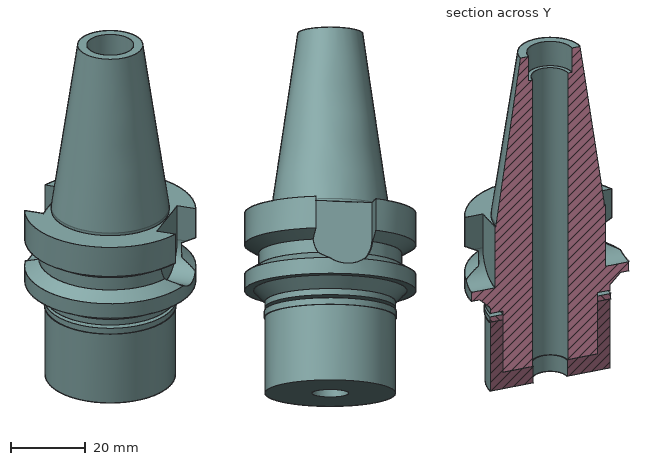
import cadquery as cq

TOTAL_HEIGHT = 98.4
GAUGE_Z = 50.0
FLANGE_TOP_Z = 49.2
GROOVE_TOP_Z = 40.5
GROOVE_BOTTOM_Z = 32.4
FLANGE_BOTTOM_Z = 28.0
LIP_BOTTOM_Z = 23.3
LIP_TOP_Z = 25.0

TAPER_BASE_R = 15.8
TAPER_TOP_R = 8.8
FLANGE_DIAMETER = 46.0
FLANGE_R = FLANGE_DIAMETER / 2
GROOVE_R = 19.2
GROOVE_FLANK_HEIGHT = 2.3
LIP_R = 17.5
NECK_R = 13.9

SLOT_WIDTH = 16.3
SLOT_FLOOR_X = 16.1
SLOT_BOTTOM_Z = 30.9

COUNTERBORE_R = 6.3
COUNTERBORE_DEPTH = 7.3
BORE_R = 5.1

RING_R = 17.7
RING_HEIGHT = 1.8
NUT_R = 17.5
NUT_HEIGHT = 20.7
NUT_FRONT_WALL = 4.9
NUT_BORE_R = 4.9


def cylinder(radius, bottom_z, height):
    """Solid cylinder on the Z axis."""
    return cq.Workplane("XY").workplane(offset=bottom_z).circle(radius).extrude(height)


def holder_blank():
    """Taper, grooved flange, lip and neck as one turned shape."""
    cone_top_r = LIP_R + FLANGE_BOTTOM_Z - LIP_TOP_Z
    profile = [
        (0, NUT_FRONT_WALL),
        (NECK_R, NUT_FRONT_WALL),
        (NECK_R, LIP_BOTTOM_Z),
        (LIP_R, LIP_BOTTOM_Z),
        (LIP_R, LIP_TOP_Z),
        (cone_top_r, FLANGE_BOTTOM_Z),
        (FLANGE_R, FLANGE_BOTTOM_Z),
        (FLANGE_R, GROOVE_BOTTOM_Z),
        (GROOVE_R, GROOVE_BOTTOM_Z + GROOVE_FLANK_HEIGHT),
        (GROOVE_R, GROOVE_TOP_Z - GROOVE_FLANK_HEIGHT),
        (FLANGE_R, GROOVE_TOP_Z),
        (FLANGE_R, FLANGE_TOP_Z),
        (TAPER_BASE_R, FLANGE_TOP_Z),
        (TAPER_BASE_R, GAUGE_Z),
        (TAPER_TOP_R, TOTAL_HEIGHT),
        (0, TOTAL_HEIGHT),
    ]
    return cq.Workplane("XZ").polyline(profile).close().revolve(360, (0, 0), (0, 1))


def drive_slot(side):
    """Round-bottomed slot cutter, open at the top and outer side; side is +1 or -1 along X."""
    half_width = SLOT_WIDTH / 2
    arc_center_z = SLOT_BOTTOM_Z + half_width
    return (
        cq.Workplane("YZ")
        .workplane(offset=side * SLOT_FLOOR_X)
        .moveTo(-half_width, FLANGE_TOP_Z)
        .lineTo(-half_width, arc_center_z)
        .threePointArc((0, SLOT_BOTTOM_Z), (half_width, arc_center_z))
        .lineTo(half_width, FLANGE_TOP_Z)
        .close()
        .extrude(side * (FLANGE_R - SLOT_FLOOR_X))
    )


def make_holder():
    """Tool holder with its drive slots and stepped through bore."""
    holder = holder_blank()
    for side in (-1, 1):
        holder = holder.cut(drive_slot(side))
    holder = holder.cut(cylinder(BORE_R, 0, TOTAL_HEIGHT))
    return holder.cut(cylinder(COUNTERBORE_R, TOTAL_HEIGHT - COUNTERBORE_DEPTH, COUNTERBORE_DEPTH))


def make_ring():
    """Thin ring around the neck, resting on the nut."""
    return cylinder(RING_R, NUT_HEIGHT, RING_HEIGHT).cut(cylinder(NECK_R, NUT_HEIGHT, RING_HEIGHT))


def make_nut():
    """Clamping nut that receives the neck and has a through hole in its front wall."""
    nut = cylinder(NUT_R, 0, NUT_HEIGHT)
    nut = nut.cut(cylinder(NECK_R, NUT_FRONT_WALL, NUT_HEIGHT - NUT_FRONT_WALL))
    return nut.cut(cylinder(NUT_BORE_R, 0, NUT_FRONT_WALL))


holder = make_holder()
ring = make_ring()
nut = make_nut()

result = cq.Compound.makeCompound([holder.val(), ring.val(), nut.val()])